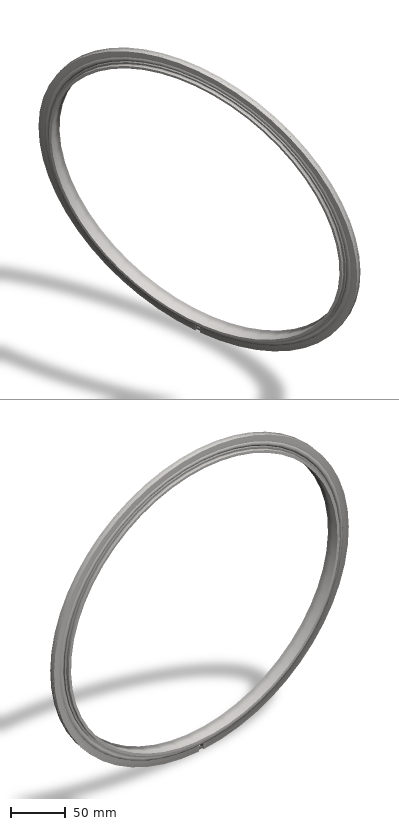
import cadquery as cq

OUTER_RADIUS = 173.0

BORE_RADIUS = 156.5
SLEEVE_RADIUS = 159.0
SLEEVE_WIDTH = 14.0
LIP_RADIUS = 161.2
LIP_WIDTH = 7.5

SEAL_CENTER_RADIUS = 164.0
SEAL_SECTION_RADIUS = 3.5

OUTER_RING_WIDTH = 5.5
SPLIT_GAP = 5.2

BAND_WIDTH = 2.0
BAND_THICKNESS = 2.0
BAND_INNER_RADIUS = OUTER_RADIUS - BAND_THICKNESS


def revolve_about_y(section):
    """Revolve a section, drawn with radius along Z, a full turn around the Y axis."""
    return section.revolve(360, (0, 0), (1, 0))


def rectangular_ring(inner_radius, outer_radius, width):
    """Ring of rectangular section around the Y axis, centered on Y = 0."""
    middle_radius = (inner_radius + outer_radius) / 2
    section = (
        cq.Workplane("YZ")
        .moveTo(0, middle_radius)
        .rect(width, outer_radius - inner_radius)
    )
    return revolve_about_y(section)


def make_seal():
    """Round-section O-ring."""
    section = (
        cq.Workplane("YZ")
        .moveTo(0, SEAL_CENTER_RADIUS)
        .circle(SEAL_SECTION_RADIUS)
    )
    return revolve_about_y(section)


def make_band():
    """Closed band that holds the split outer ring together."""
    return rectangular_ring(BAND_INNER_RADIUS, OUTER_RADIUS, BAND_WIDTH)


def make_centering_ring(seal):
    """Wide sleeve with a central lip, hollowed to seat the O-ring."""
    sleeve = rectangular_ring(BORE_RADIUS, SLEEVE_RADIUS, SLEEVE_WIDTH)
    lip = rectangular_ring(SLEEVE_RADIUS, LIP_RADIUS, LIP_WIDTH)
    return sleeve.union(lip).cut(seal)


def make_outer_ring(seal, band):
    """Flat ring around the O-ring, grooved for the band and split at the bottom."""
    ring = rectangular_ring(SEAL_CENTER_RADIUS, OUTER_RADIUS, OUTER_RING_WIDTH)
    gap = cq.Workplane("XY").box(
        SPLIT_GAP, OUTER_RING_WIDTH, OUTER_RADIUS, centered=(True, True, False)
    ).translate((0, 0, -OUTER_RADIUS))
    return ring.cut(seal).cut(band).cut(gap)


seal = make_seal()
band = make_band()
centering_ring = make_centering_ring(seal)
outer_ring = make_outer_ring(seal, band)

result = cq.Compound.makeCompound(
    [centering_ring.solids().val(), seal.solids().val(), outer_ring.solids().val(), band.solids().val()]
)